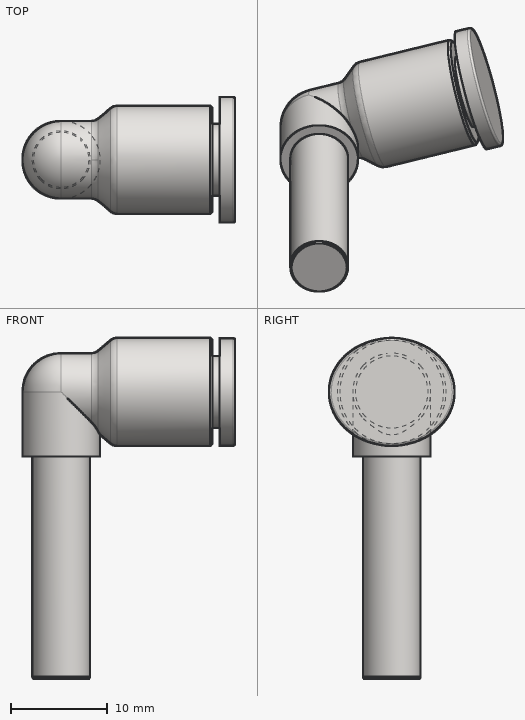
import cadquery as cq


total_height = 35.2

elbow_radius = 4.0
elbow_drop = 6.7

stem_radius = 3.0
stem_chamfer_length = 0.25
stem_chamfer_depth = 0.15

body_radius = 5.6
cone_start_x = 3.52
cone_end_x = 5.4
body_end_x = 15.6
cone_fillet = 1.05
body_end_chamfer = 0.25

sleeve_radius = 3.73
flange_width = 13.0
flange_height = 11.12
flange_start_x = 16.35
flange_end_x = 17.95
flange_end_fillet = 0.25


def make_elbow():
    """Vertical barrel closed by a ball that rounds the outer corner."""
    barrel = cq.Workplane("XY").circle(elbow_radius).extrude(-elbow_drop)
    ball = cq.Workplane("XY").sphere(elbow_radius)
    return barrel.union(ball)


def make_stem():
    """Long round plug below the elbow, chamfered at its free end."""
    stem_length = total_height - body_radius
    return (
        cq.Workplane("XZ")
        .moveTo(0, 0)
        .lineTo(stem_radius, 0)
        .lineTo(stem_radius, stem_chamfer_length - stem_length)
        .lineTo(stem_radius - stem_chamfer_depth, -stem_length)
        .lineTo(0, -stem_length)
        .close()
        .revolve(360, (0, 0), (0, 1))
    )


def make_socket():
    """Neck, blended cone and cylinder turned about the X axis, chamfered at the mouth."""
    turned = (
        cq.Workplane("XZ")
        .moveTo(0, 0)
        .lineTo(0, elbow_radius)
        .lineTo(cone_start_x, elbow_radius)
        .lineTo(cone_end_x, body_radius)
        .lineTo(body_end_x, body_radius)
        .lineTo(body_end_x, 0)
        .close()
        .revolve(360, (0, 0), (1, 0))
    )
    blended = turned.faces("%CONE").edges("%CIRCLE").fillet(cone_fillet)
    return blended.faces(">X").chamfer(body_end_chamfer)


def make_collar():
    """Sleeve leaving a groove behind the oval flange at the socket mouth."""
    sleeve = (
        cq.Workplane("YZ", origin=(body_end_x, 0, 0))
        .circle(sleeve_radius)
        .extrude(flange_start_x - body_end_x)
    )
    flange = (
        cq.Workplane("YZ", origin=(flange_start_x, 0, 0))
        .ellipse(flange_width / 2, flange_height / 2)
        .extrude(flange_end_x - flange_start_x)
        .faces(">X")
        .edges()
        .fillet(flange_end_fillet)
    )
    return sleeve.union(flange)


result = make_elbow().union(make_stem()).union(make_socket()).union(make_collar())